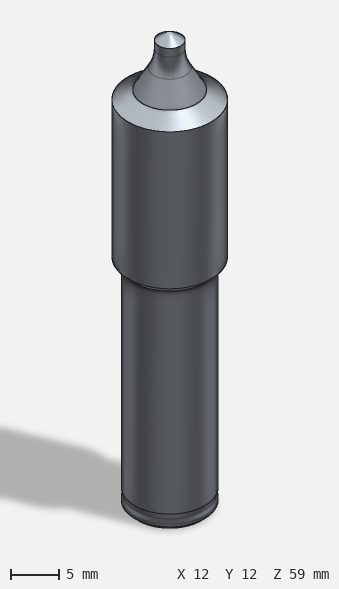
import cadquery as cq
import math

length = 59.0
body_diameter = 12.0
body_radius = body_diameter / 2
shank_radius = 5.0
tip_radius = 1.6

base_chamfer = 0.55
land_top = 0.9
groove_ramp_top = 1.4
groove_top = 2.1
groove_depth = 0.15
groove_radius = shank_radius - groove_depth

shank_top = 30.0
body_bottom = shank_top + body_radius - shank_radius
body_top = 50.55
shoulder_top = 51.8

point_height = 1.0
tip_length = 1.05
flare_radius = 4.7
nose_half_angle = math.radians(30)

point_base = length - point_height
flare_top = point_base - tip_length


def flare_point(angle):
    """Radius and height on the flare after it has turned from vertical."""
    radius = tip_radius + flare_radius * (1 - math.cos(angle))
    height = flare_top - flare_radius * math.sin(angle)
    return radius, height


flare_end = flare_point(nose_half_angle)
flare_middle = flare_point(nose_half_angle / 2)
nose_base_radius = flare_end[0] + (flare_end[1] - shoulder_top) * math.tan(nose_half_angle)

outline = (
    cq.Workplane("XZ")
    .moveTo(0, 0)
    .lineTo(shank_radius - base_chamfer, 0)
    .lineTo(shank_radius, base_chamfer)
    .lineTo(shank_radius, land_top)
    .lineTo(groove_radius, groove_ramp_top)
    .lineTo(groove_radius, groove_top)
    .lineTo(shank_radius, groove_top)
    .lineTo(shank_radius, shank_top)
    .lineTo(body_radius, body_bottom)
    .lineTo(body_radius, body_top)
    .lineTo(nose_base_radius, shoulder_top)
    .lineTo(*flare_end)
    .threePointArc(flare_middle, (tip_radius, flare_top))
    .lineTo(tip_radius, point_base)
    .lineTo(0, length)
    .close()
)

result = outline.revolve(360, (0, 0, 0), (0, 1, 0))